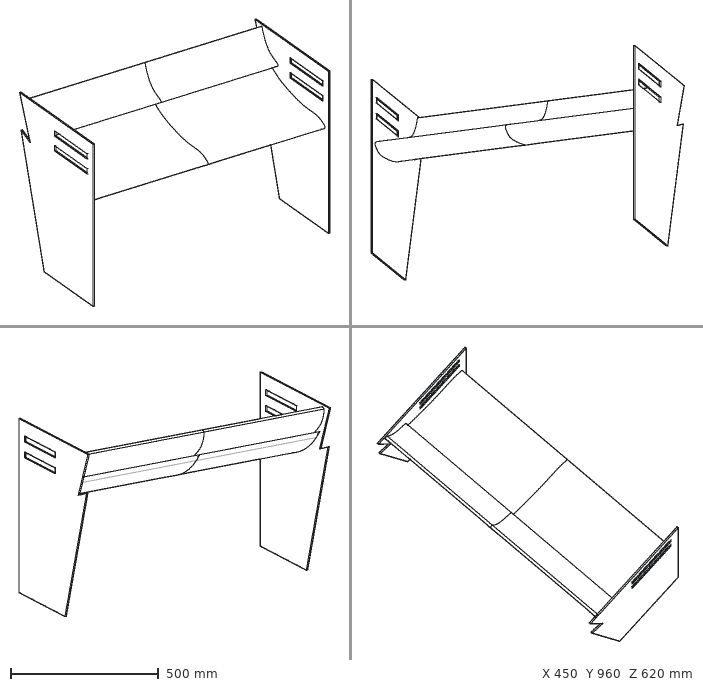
import cadquery as cq
SPAN = 960.0
PLATE_LENGTH = 450.0
PLATE_HEIGHT = 620.0
PLATE_THICKNESS = 6.0

FOOT_START = 150.0
NOTCH_CORNER = (63.0, 457.0)
NOTCH_TIP = (9.0, 480.0)

SLOT_LENGTH = 200.0
SLOT_HEIGHT = 20.0
SLOT_BACK_MARGIN = 36.0
SLOT_TOP_MARGIN = 62.0
SLOT_PITCH = 57.0
SLOT_COUNT = 2

FLAP_UPPER = [(43.0, 613.0), (62.0, 568.0), (92.0, 534.0), (129.0, 516.0)]
FLAP_NOSE = (141.0, 507.0)
FLAP_LOWER = [(34.0, 608.0), (40.0, 576.0), (57.0, 546.0), (86.0, 516.0), (129.0, 496.0)]

MAIN_UPPER = [(61.0, 519.0), (95.0, 491.0), (132.0, 467.0), (215.0, 438.0), (317.0, 421.0), (419.0, 407.0)]
MAIN_NOSE = (429.0, 397.0)
MAIN_LOWER = [(84.0, 492.0), (144.0, 439.0), (240.0, 393.0), (346.0, 374.0), (419.0, 386.0)]

HALF_SPAN = SPAN / 2
INNER_Y = HALF_SPAN - PLATE_THICKNESS
SLOT_CENTRE_X = PLATE_LENGTH - SLOT_BACK_MARGIN - SLOT_LENGTH / 2


def xz_plane(start_y):
    """Sketch plane in X and Z; a negative extrusion grows toward +Y."""
    return cq.Workplane("XZ", origin=(0, start_y, 0))


def end_plate(start_y):
    """Notched side plate with two horizontal slots."""
    plate = (
        xz_plane(start_y)
        .moveTo(FOOT_START, 0)
        .lineTo(PLATE_LENGTH, 0)
        .lineTo(PLATE_LENGTH, PLATE_HEIGHT)
        .lineTo(0, PLATE_HEIGHT)
        .lineTo(*NOTCH_CORNER)
        .lineTo(*NOTCH_TIP)
        .close()
        .extrude(-PLATE_THICKNESS)
    )
    slot_centres = [
        (SLOT_CENTRE_X, PLATE_HEIGHT - SLOT_TOP_MARGIN - i * SLOT_PITCH)
        for i in range(SLOT_COUNT)
    ]
    slots = (
        xz_plane(start_y)
        .pushPoints(slot_centres)
        .rect(SLOT_LENGTH, SLOT_HEIGHT)
        .extrude(-PLATE_THICKNESS)
    )
    return plate.cut(slots)


def wing_half(start_y, upper, nose, lower):
    """Half-span wing: curved skins running smoothly round the nose, and a flat at the trailing edge."""
    return (
        xz_plane(start_y)
        .moveTo(*upper[0])
        .spline([*upper[1:], nose, *reversed(lower)], includeCurrent=True)
        .close()
        .extrude(-INNER_Y)
    )


def main_wing_half(start_y):
    """Half of the large lower wing."""
    return wing_half(start_y, MAIN_UPPER, MAIN_NOSE, MAIN_LOWER)


def flap_half(start_y):
    """Half of the small flap above the main wing's trailing edge."""
    return wing_half(start_y, FLAP_UPPER, FLAP_NOSE, FLAP_LOWER)


end_plates = [end_plate(y).val() for y in (-HALF_SPAN, INNER_Y)]

half_starts = (-INNER_Y, 0)
main_wings = [main_wing_half(y).val() for y in half_starts]
flaps = [flap_half(y).val() for y in half_starts]

result = cq.Compound.makeCompound([*end_plates, *main_wings, *flaps])